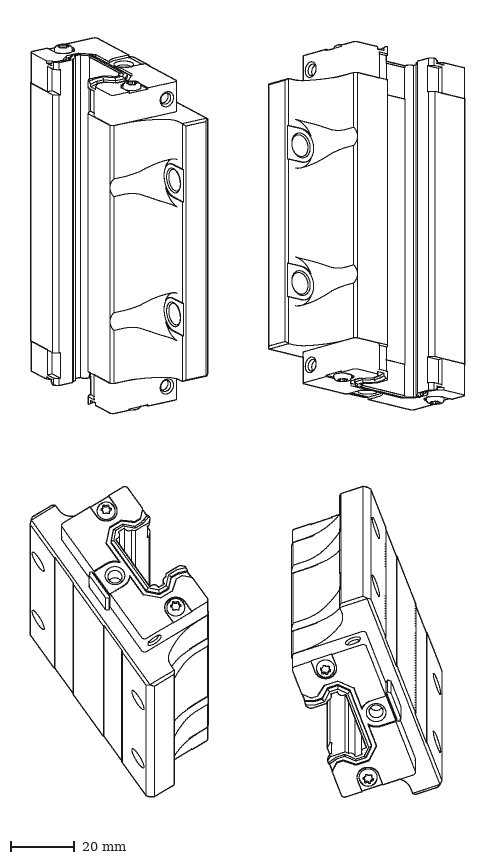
import cadquery as cq
import math


HALF_WIDTH = 70.0 / 2
HEIGHT = 30.2
HALF_LENGTH = 109 / 2
BODY_HALF_LENGTH = 43.3

FLANGE_UNDERSIDE_Y = 20.1
FLANGE_SIDE_Y = (20.8, 28.2)
FLANGE_LOWER_CHAMFER = FLANGE_SIDE_Y[0] - FLANGE_UNDERSIDE_Y
FLANGE_UPPER_X = 33.2
BODY_LEG_X = 24.0
BODY_LEG_CHAMFER = 0.9
FLANK_RADIUS = 22.9
FLANK_START_Y = 4.8
FLANK_END_X = 28.3
FLANGE_FILLET_START_X = 32.2
TOP_RELIEF_X = (8.7, 19.3)
TOP_RELIEF_DEPTH = 0.2
END_CHAMFER_Z = 0.7
END_CHAMFER_INSET = 1.0

OPENING_LEG_X = 8.8
OPENING_ROOF_X = 9.7
OPENING_POCKET_X = 11.4
ROOF_Y = 13.3
CAP_ROOF_Y = 13.4
OPENING_POCKET_Y = (8.9, 11.2)
OPENING_NOSE_RADIUS = 1.4
OPENING_LEDGE_Y = 7.4
OPENING_LEG_TOP_Y = 6.5
OPENING_CHAMFER = 1.4

MOUNT_X = 28.6
MOUNT_Z = 22.5
MOUNT_HOLE_DIAMETER = 7.0
MOUNT_CHAMFER_DIAMETER = 8.0
SPOTFACE_RADIUS = 5.5
SPOTFACE_Y = 20.3
CLEARANCE_X = 31.6
CLEARANCE_RADIUS = 8.0
CLEARANCE_Y = 20.0

CAP_TOP_Z = 53.4
CAP_HALF_WIDTH = 23.9
CAP_Y = (0.2, 25.0)
CAP_CORNER_RADIUS = 1.1
CAP_NOTCH_X = 13.5
CAP_NOTCH_Y = 2.0
CAP_NOTCH_TOP_Z = 51.8

SEAL_CHANNEL_Z = 52.6
SEAL_TAPER_Z = 53.5
SEAL_TOP_Z = 54.2
SEAL_TAPER_INSET = 0.9

PORT_Y = 20.1
PORT_PAD_RADIUS = 4.7
PORT_PAD_BOTTOM_Y = 16.4
PORT_PAD_Z = SEAL_CHANNEL_Z
PORT_DIAMETER = 4.4
PORT_CHAMFER_DIAMETER = 6.2
PORT_DEPTH = 6.5
TAB_MIDDLE_X = 5.5
TAB_MIDDLE_Y = 25.8
TAB_TOP_Y = 26.7
TAB_TOP_Z = 52.4
TAB_GROOVE_WIDTH = 0.3
TAB_GROOVE_DEPTH = 1.0
SIDE_PORT_Y = 20.8
SIDE_PORT_Z = 48.2
SIDE_PORT_DIAMETER = 3.7
SIDE_PORT_CHAMFER_DIAMETER = 5.0
SIDE_PORT_DEPTH = 2.2

SCREW_X = 20.0
SCREW_Y = 10.2
SCREW_HEAD_DIAMETER = 5.7
SCREW_DOME_RADIUS = 1.0
SCREW_RECESS_DIAMETER = 7.0
SCREW_RECESS_DEPTH = 0.4
SOCKET_DIAMETER = 2.5
SOCKET_LOBE_DIAMETER = 0.8
SOCKET_LOBE_COUNT = 6
SOCKET_DEPTH = 1.1

OVERCUT = 3.3


def mirror_x(shape):
    return shape.union(shape.mirror("YZ"))


def plan_at(z):
    """XY workplane at height z."""
    return cq.Workplane("XY").workplane(offset=z)


def symmetric_outline(z, half_points):
    """Closed outline at height z from the points of its +X half, listed from top to bottom."""
    other_half = [(-x, y) for x, y in reversed(half_points)]
    return plan_at(z).polyline(half_points + other_half).close()


def point_on_circle(center, through):
    """Middle of the shorter arc around center between the two given points."""
    mid_angle = sum(math.atan2(y - center[1], x - center[0]) for x, y in through) / 2
    radius = math.dist(center, through[0])
    return (center[0] + radius * math.cos(mid_angle), center[1] + radius * math.sin(mid_angle))


def body_blank():
    """Half cross-section of flange and leg, mirrored to the full width, with chamfered ends."""
    flank_center = (BODY_LEG_X + FLANK_RADIUS, FLANK_START_Y)
    flank_start = (BODY_LEG_X, FLANK_START_Y)
    flank_rise = math.sqrt(FLANK_RADIUS**2 - (flank_center[0] - FLANK_END_X) ** 2)
    flank_end = (FLANK_END_X, FLANK_START_Y + flank_rise)

    fillet_end = (FLANGE_FILLET_START_X, FLANGE_UNDERSIDE_Y)
    run = FLANGE_FILLET_START_X - FLANK_END_X
    rise = FLANGE_UNDERSIDE_Y - flank_end[1]
    fillet_radius = (run**2 + rise**2) / (2 * rise)
    fillet_center = (FLANGE_FILLET_START_X, FLANGE_UNDERSIDE_Y - fillet_radius)

    half = (
        plan_at(-BODY_HALF_LENGTH)
        .moveTo(0, 0)
        .lineTo(BODY_LEG_X - BODY_LEG_CHAMFER, 0)
        .lineTo(BODY_LEG_X, BODY_LEG_CHAMFER)
        .lineTo(*flank_start)
        .threePointArc(point_on_circle(flank_center, [flank_start, flank_end]), flank_end)
        .threePointArc(point_on_circle(fillet_center, [flank_end, fillet_end]), fillet_end)
        .lineTo(HALF_WIDTH - FLANGE_LOWER_CHAMFER, FLANGE_UNDERSIDE_Y)
        .lineTo(HALF_WIDTH, FLANGE_SIDE_Y[0])
        .lineTo(HALF_WIDTH, FLANGE_SIDE_Y[1])
        .lineTo(FLANGE_UPPER_X, HEIGHT)
        .lineTo(TOP_RELIEF_X[1], HEIGHT)
        .lineTo(TOP_RELIEF_X[1], HEIGHT - TOP_RELIEF_DEPTH)
        .lineTo(TOP_RELIEF_X[0], HEIGHT - TOP_RELIEF_DEPTH)
        .lineTo(TOP_RELIEF_X[0], HEIGHT)
        .lineTo(0, HEIGHT)
        .close()
        .extrude(2 * BODY_HALF_LENGTH)
    )
    envelope = (
        cq.Workplane("XY")
        .box(2 * HALF_WIDTH, 2 * HEIGHT, 2 * BODY_HALF_LENGTH)
        .faces("<Z or >Z")
        .chamfer(END_CHAMFER_Z, END_CHAMFER_INSET)
    )
    return mirror_x(half).intersect(envelope)


def mounting_cuts():
    """Through holes with spot faces and clearance pockets in the flange, for +X and -X."""
    tool = cq.Workplane("XY")
    chamfer = (MOUNT_CHAMFER_DIAMETER - MOUNT_HOLE_DIAMETER) / 2
    for z in (-MOUNT_Z, MOUNT_Z):
        plane = cq.Workplane("XZ", origin=(0, 0, z))
        slot_length = HALF_WIDTH - MOUNT_X + OVERCUT
        spotface = plane.center(MOUNT_X, 0).circle(SPOTFACE_RADIUS).extrude(-SPOTFACE_Y)
        slot = (
            plane.center(MOUNT_X + slot_length / 2, 0)
            .rect(slot_length, 2 * SPOTFACE_RADIUS)
            .extrude(-SPOTFACE_Y)
        )
        clearance = plane.center(CLEARANCE_X, 0).circle(CLEARANCE_RADIUS).extrude(-CLEARANCE_Y)
        hole = plane.center(MOUNT_X, 0).circle(MOUNT_HOLE_DIAMETER / 2).extrude(-HEIGHT)
        countersink = cq.Workplane(
            cq.Solid.makeCone(
                MOUNT_CHAMFER_DIAMETER / 2,
                MOUNT_HOLE_DIAMETER / 2,
                chamfer,
                cq.Vector(MOUNT_X, SPOTFACE_Y, z),
                cq.Vector(0, 1, 0),
            )
        )
        tool = tool.add(spotface).add(slot).add(clearance).add(hole).add(countersink)
    return mirror_x(tool.combine())


def end_cap():
    """Block at the +Z end with its grooved grease tab and the recess around the grease port."""
    cap_height = CAP_Y[1] - CAP_Y[0]
    cap = (
        plan_at(BODY_HALF_LENGTH)
        .center(0, CAP_Y[0] + cap_height / 2)
        .rect(2 * CAP_HALF_WIDTH, cap_height)
        .extrude(CAP_TOP_Z - BODY_HALF_LENGTH)
        .edges("|Z")
        .fillet(CAP_CORNER_RADIUS)
    )
    tab_outline = [
        (PORT_PAD_RADIUS, TAB_TOP_Y),
        (TAB_MIDDLE_X, TAB_MIDDLE_Y),
        (PORT_PAD_RADIUS, CAP_Y[1]),
        (PORT_PAD_RADIUS, PORT_Y),
    ]
    tab = symmetric_outline(BODY_HALF_LENGTH, tab_outline).extrude(TAB_TOP_Z - BODY_HALF_LENGTH)
    groove = (
        plan_at(TAB_TOP_Z - TAB_GROOVE_DEPTH)
        .center(0, CAP_Y[1] + TAB_GROOVE_WIDTH / 2)
        .rect(2 * TAB_MIDDLE_X, TAB_GROOVE_WIDTH)
        .extrude(OVERCUT)
    )

    pad_end = plan_at(PORT_PAD_Z).center(0, PORT_Y).circle(PORT_PAD_RADIUS).extrude(OVERCUT)
    pad_side = (
        plan_at(PORT_PAD_Z)
        .center(0, PORT_Y + HEIGHT / 2)
        .rect(2 * PORT_PAD_RADIUS, HEIGHT)
        .extrude(OVERCUT)
    )
    above_seal = (
        plan_at(PORT_PAD_Z)
        .center(0, PORT_PAD_BOTTOM_Y + HEIGHT)
        .rect(2 * HALF_WIDTH, 2 * HEIGHT)
        .extrude(OVERCUT)
    )
    return cap.union(tab).cut(groove).cut(pad_end.union(pad_side).intersect(above_seal))


def chamfered_hole(diameter, chamfer_diameter, depth, mouth, direction):
    """Blind hole with a 45-degree chamfer, running from the mouth point along direction."""
    start = cq.Vector(*mouth)
    axis = cq.Vector(*direction)
    chamfer = (chamfer_diameter - diameter) / 2
    hole = cq.Solid.makeCylinder(diameter / 2, depth, start, axis)
    cone = cq.Solid.makeCone(chamfer_diameter / 2, diameter / 2, chamfer, start, axis)
    return cq.Workplane(hole).union(cq.Workplane(cone))


def port_holes():
    """Grease port in the end face and blind ports in both sides of the cap."""
    end_port = chamfered_hole(
        PORT_DIAMETER, PORT_CHAMFER_DIAMETER, PORT_DEPTH, (0, PORT_Y, PORT_PAD_Z), (0, 0, -1)
    )
    side_port = chamfered_hole(
        SIDE_PORT_DIAMETER,
        SIDE_PORT_CHAMFER_DIAMETER,
        SIDE_PORT_DEPTH,
        (CAP_HALF_WIDTH, SIDE_PORT_Y, SIDE_PORT_Z),
        (-1, 0, 0),
    )
    return end_port.union(mirror_x(side_port))


def seal_channel():
    """Shallow channel in the end face of the cap, reaching inward to the rail opening."""
    outline = [
        (10.7, 16.4),
        (14.6, 12.4),
        (14.6, 8.1),
        (11.9, 4.8),
        (11.9, 2.6),
        (14.5, 0.0),
    ]
    return symmetric_outline(SEAL_CHANNEL_Z, outline).extrude(OVERCUT)


def seal_lip():
    """Seal standing in the channel: straight foot, then a bevelled crest."""
    outline = [
        (10.1, 14.9),
        (13.2, 12.0),
        (13.2, 8.5),
        (10.5, 5.8),
        (10.5, 3.3),
        (11.8, -0.7),
    ]
    taper = math.degrees(math.atan2(SEAL_TAPER_INSET, SEAL_TOP_Z - SEAL_TAPER_Z))
    foot = symmetric_outline(SEAL_CHANNEL_Z, outline).extrude(SEAL_TAPER_Z - SEAL_CHANNEL_Z)
    crest = symmetric_outline(SEAL_TAPER_Z, outline).extrude(SEAL_TOP_Z - SEAL_TAPER_Z, taper=taper)
    below_cap = (
        plan_at(SEAL_CHANNEL_Z)
        .center(0, CAP_Y[0] - HEIGHT / 2)
        .rect(2 * HALF_WIDTH, HEIGHT)
        .extrude(OVERCUT)
    )
    return foot.union(crest).cut(below_cap)


def cap_leg_notches():
    """Notches under the seal plate at the inner corners of the cap legs."""
    return (
        plan_at(BODY_HALF_LENGTH)
        .center(0, CAP_NOTCH_Y / 2)
        .rect(2 * CAP_NOTCH_X, CAP_NOTCH_Y)
        .extrude(CAP_NOTCH_TOP_Z - BODY_HALF_LENGTH)
    )


def screw_recess():
    """Round recess for a screw head, open towards the side of the cap."""
    floor = CAP_TOP_Z - SCREW_RECESS_DEPTH
    run_out = CAP_HALF_WIDTH - SCREW_X + OVERCUT
    seat = plan_at(floor).center(SCREW_X, SCREW_Y).circle(SCREW_RECESS_DIAMETER / 2).extrude(OVERCUT)
    exit_slot = (
        plan_at(floor)
        .center(SCREW_X + run_out / 2, SCREW_Y)
        .rect(run_out, SCREW_RECESS_DIAMETER)
        .extrude(OVERCUT)
    )
    return mirror_x(seat.union(exit_slot))


def screw_head():
    """Domed screw head with a six-lobed socket."""
    seat_z = CAP_TOP_Z - SCREW_RECESS_DEPTH
    head = (
        plan_at(seat_z)
        .circle(SCREW_HEAD_DIAMETER / 2)
        .extrude(HALF_LENGTH - seat_z)
        .faces(">Z")
        .edges()
        .fillet(SCREW_DOME_RADIUS)
    )
    socket_plane = plan_at(HALF_LENGTH - SOCKET_DEPTH)
    socket = socket_plane.circle(SOCKET_DIAMETER / 2).extrude(SOCKET_DEPTH)
    lobes = (
        socket_plane.polarArray(SOCKET_DIAMETER / 2, 0, 360, SOCKET_LOBE_COUNT)
        .circle(SOCKET_LOBE_DIAMETER / 2)
        .extrude(SOCKET_DEPTH)
    )
    return mirror_x(head.cut(socket).cut(lobes).translate((SCREW_X, SCREW_Y, 0)))


def rail_opening(roof_y, top_z):
    """Rail passage up to the given roof height and end plane; rounded noses border the side pockets."""
    r = OPENING_NOSE_RADIUS
    lower, upper = OPENING_POCKET_Y
    nose_mid = r * (1 - math.sin(math.radians(45)))
    half = (
        plan_at(-HALF_LENGTH)
        .moveTo(0, -OVERCUT)
        .lineTo(OPENING_LEG_X, -OVERCUT)
        .lineTo(OPENING_LEG_X, OPENING_LEG_TOP_Y)
        .lineTo(OPENING_ROOF_X, OPENING_LEDGE_Y)
        .lineTo(OPENING_ROOF_X, lower - r)
        .threePointArc((OPENING_ROOF_X + nose_mid, lower - nose_mid), (OPENING_ROOF_X + r, lower))
        .lineTo(OPENING_POCKET_X, lower)
        .lineTo(OPENING_POCKET_X, upper)
        .lineTo(OPENING_ROOF_X + r, upper)
        .threePointArc((OPENING_ROOF_X + nose_mid, upper + nose_mid), (OPENING_ROOF_X, upper + r))
        .lineTo(OPENING_ROOF_X, roof_y)
        .lineTo(0, roof_y)
        .close()
        .extrude(HALF_LENGTH + top_z)
    )
    return mirror_x(half)


def opening_chamfer():
    """Bevels along the mouth of the rail opening."""
    outline = [(OPENING_LEG_X, OPENING_CHAMFER), (OPENING_LEG_X + OPENING_CHAMFER, 0)]
    return symmetric_outline(-HALF_LENGTH, outline).extrude(2 * HALF_LENGTH)


body = body_blank().cut(mounting_cuts()).cut(rail_opening(ROOF_Y, HALF_LENGTH))

cap = end_cap().cut(seal_channel()).union(seal_lip())
cap = cap.cut(cap_leg_notches()).cut(port_holes())
cap = cap.cut(screw_recess()).union(screw_head())
cap = cap.cut(rail_opening(ROOF_Y, HALF_LENGTH)).cut(rail_opening(CAP_ROOF_Y, SEAL_TAPER_Z))

result = body.union(cap).union(cap.mirror("XY")).cut(opening_chamfer())